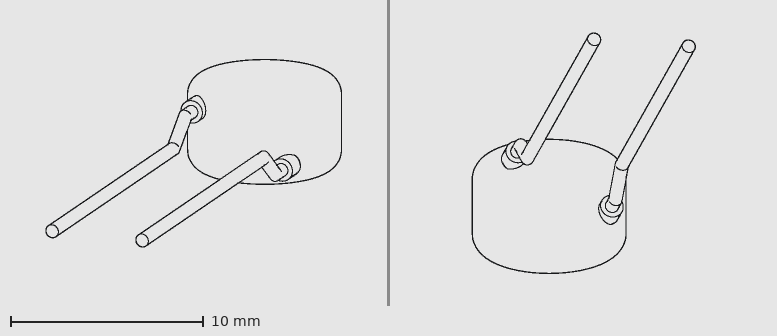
import cadquery as cq

DISC_DIAMETER = 8.0
DISC_HEIGHT = 5.0
DISC_EDGE_RADIUS = 1.0

COLLAR_DIAMETER = 1.2
COLLAR_LENGTH = 1.15
COLLAR_TAPER_LENGTH = 0.45

LEAD_DIAMETER = 0.7
LEAD_SPACING = 5.0
LEAD_EXIT_HEIGHT = 1.32
OVERALL_LENGTH = 28.0
FIRST_BEND_Y = -4.9
SECOND_BEND_Y = -6.6

COLLAR_END_Y = -DISC_DIAMETER / 2
TAPER_START_Y = COLLAR_END_Y + COLLAR_LENGTH
TAPER_END_Y = TAPER_START_Y + COLLAR_TAPER_LENGTH
LEAD_TIP_Y = DISC_DIAMETER / 2 - OVERALL_LENGTH

LEAD_EXITS = [
    (-LEAD_SPACING / 2, LEAD_EXIT_HEIGHT),
    (LEAD_SPACING / 2, -LEAD_EXIT_HEIGHT),
]


def make_collar(x, z):
    """Round stub level with the disc's front edge, tapering at the back into the disc."""
    half_profile = [
        (0, COLLAR_END_Y),
        (COLLAR_DIAMETER / 2, COLLAR_END_Y),
        (COLLAR_DIAMETER / 2, TAPER_START_Y),
        (LEAD_DIAMETER / 2, TAPER_END_Y),
        (0, TAPER_END_Y),
    ]
    return (
        cq.Workplane("XY", origin=(x, 0, z))
        .polyline(half_profile)
        .close()
        .revolve(360, (0, 0), (0, 1))
    )


def make_housing():
    """Disc with rounded rims and one collar per lead."""
    housing = (
        cq.Workplane("XY", origin=(0, 0, -DISC_HEIGHT / 2))
        .circle(DISC_DIAMETER / 2)
        .extrude(DISC_HEIGHT)
        .edges("%CIRCLE")
        .fillet(DISC_EDGE_RADIUS)
    )
    for x, z in LEAD_EXITS:
        housing = housing.union(make_collar(x, z))
    return housing


def make_lead(x, exit_z):
    """Wire from the collar face, slanting to mid-height, then straight to its tip."""
    path = cq.Workplane("YZ", origin=(x, 0, 0)).polyline([
        (COLLAR_END_Y, exit_z),
        (FIRST_BEND_Y, exit_z),
        (SECOND_BEND_Y, 0),
        (LEAD_TIP_Y, 0),
    ])
    return (
        cq.Workplane("XZ", origin=(x, COLLAR_END_Y, exit_z))
        .circle(LEAD_DIAMETER / 2)
        .sweep(path, transition="right")
    )


housing = make_housing()
leads = [make_lead(x, z) for x, z in LEAD_EXITS]

result = cq.Compound.makeCompound([*housing.solids().vals(), *[lead.val() for lead in leads]])